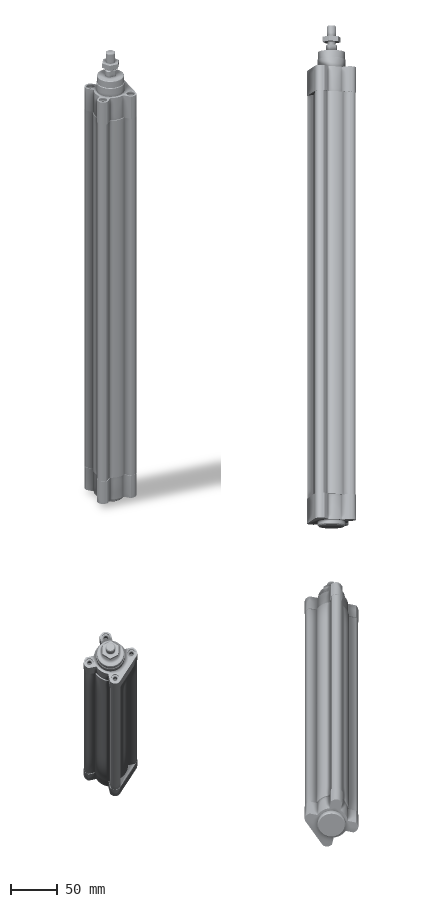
import cadquery as cq
import math

TUBE_WIDTH = 44.5
TUBE_CORNER_RADIUS = 6.0
TUBE_CORE_RADIUS = 19.0
TUBE_GROOVE_APEX = 7.5
CAP_STEP = 0.15
CAP_WIDTH = TUBE_WIDTH + 2 * CAP_STEP
CAP_CORNER_RADIUS = TUBE_CORNER_RADIUS + CAP_STEP
CAP_CORE_RADIUS = 18.0
CAP_GROOVE_APEX = 8.5

TOTAL_LENGTH = 545.0
CAP_LENGTH = 27.0
REAR_CAP_BOTTOM = 5.0
REAR_CAP_TOP = REAR_CAP_BOTTOM + CAP_LENGTH
FRONT_CAP_TOP = 498.0
FRONT_CAP_BOTTOM = FRONT_CAP_TOP - CAP_LENGTH
COLLAR_TOP = 508.5
GLAND_TOP = 517.0
SHOULDER_Z = 524.5
NUT_BOTTOM = 527.5

COLLAR_DIAMETER = 30.0
REAR_COLLAR_CHAMFER = 1.0
FRONT_COLLAR_CHAMFER = 0.5
GLAND_DIAMETER = 29.0
GLAND_CHAMFER = 0.5

SCREW_SPACING = 32.5
COUNTERBORE_DIAMETER = 8.5
COUNTERBORE_DEPTH = 2.5
SCREW_HOLE_DIAMETER = 4.45
SCREW_HOLE_DEPTH = 11.0
COUNTERSINK_DIAMETER = 6.0

ROD_DIAMETER = 12.0
SHOULDER_CHAMFER = 1.0
FLATS_WIDTH = 10.0
NECK_DIAMETER = 8.5
STUD_DIAMETER = 10.0
STUD_CHAMFER = 0.8
NUT_HEIGHT = 5.5
NUT_ACROSS_FLATS = 17.0
NUT_TURN = 30


def disc(diameter, bottom, top):
    """Round cylinder on the Z axis."""
    return cq.Workplane("XY", origin=(0, 0, bottom)).circle(diameter / 2).extrude(top - bottom)


def lobed_bar(width, corner_radius, core_radius, groove_apex, bottom, top):
    """Round core with four corner lobes, neighbouring lobes parted by a V-shaped side groove."""
    height = top - bottom
    half_width = width / 2
    half_mouth = half_width - groove_apex
    base = cq.Workplane("XY", origin=(0, 0, bottom))
    bar = base.rect(width, width).extrude(height).edges("|Z").fillet(corner_radius)
    groove = (
        base.moveTo(0, -groove_apex)
        .lineTo(half_mouth, -half_width)
        .lineTo(-half_mouth, -half_width)
        .close()
        .extrude(height)
    )
    for quarter in range(4):
        bar = bar.cut(groove.rotate((0, 0, 0), (0, 0, 1), 90 * quarter))
    return bar.union(disc(2 * core_radius, bottom, top))


def end_cap(bottom):
    """Lobed cap whose +Y side is filled in to form the flat port face."""
    top = bottom + CAP_LENGTH
    cap = lobed_bar(CAP_WIDTH, CAP_CORNER_RADIUS, CAP_CORE_RADIUS, CAP_GROOVE_APEX, bottom, top)
    half_width = CAP_WIDTH / 2
    port_face_width = CAP_WIDTH - 2 * CAP_CORNER_RADIUS
    port_block = (
        cq.Workplane("XY", origin=(0, half_width / 2, bottom))
        .rect(port_face_width, half_width)
        .extrude(CAP_LENGTH)
    )
    return cap.union(port_block)


def screw_hole():
    """Cutter on the Z axis for one blind hole with a countersunk edge and a counterbore."""
    hole_radius = SCREW_HOLE_DIAMETER / 2
    countersink_radius = COUNTERSINK_DIAMETER / 2
    counterbore_radius = COUNTERBORE_DIAMETER / 2
    countersink_depth = countersink_radius - hole_radius
    seat_z = FRONT_CAP_TOP - COUNTERBORE_DEPTH
    bottom_z = FRONT_CAP_TOP - SCREW_HOLE_DEPTH
    half_section = [
        (0, bottom_z),
        (hole_radius, bottom_z),
        (hole_radius, seat_z - countersink_depth),
        (countersink_radius, seat_z),
        (counterbore_radius, seat_z),
        (counterbore_radius, FRONT_CAP_TOP),
        (0, FRONT_CAP_TOP),
    ]
    return cq.Workplane("XZ").polyline(half_section).close().revolve(360, (0, 0, 0), (0, 1, 0))


def make_housing():
    """Tube with both end caps, the collars, the gland, the screw holes and the rod bore."""
    tube = lobed_bar(
        TUBE_WIDTH,
        TUBE_CORNER_RADIUS,
        TUBE_CORE_RADIUS,
        TUBE_GROOVE_APEX,
        REAR_CAP_TOP,
        FRONT_CAP_BOTTOM,
    )
    rear_collar = disc(COLLAR_DIAMETER, 0, REAR_CAP_BOTTOM)
    rear_collar = rear_collar.faces("<Z").chamfer(REAR_COLLAR_CHAMFER)
    front_collar = disc(COLLAR_DIAMETER, FRONT_CAP_TOP, COLLAR_TOP)
    front_collar = front_collar.faces(">Z").chamfer(FRONT_COLLAR_CHAMFER)
    gland = disc(GLAND_DIAMETER, COLLAR_TOP, GLAND_TOP).faces(">Z").chamfer(GLAND_CHAMFER)
    body = tube.union(end_cap(REAR_CAP_BOTTOM)).union(end_cap(FRONT_CAP_BOTTOM))
    body = body.union(rear_collar).union(front_collar).union(gland)

    hole = screw_hole()
    half_spacing = SCREW_SPACING / 2
    for x in (-half_spacing, half_spacing):
        for y in (-half_spacing, half_spacing):
            body = body.cut(hole.translate((x, y, 0)))

    return body.cut(disc(ROD_DIAMETER, FRONT_CAP_BOTTOM, GLAND_TOP))


def make_rod():
    """Piston rod with two wrench flats facing -X and +X, an undercut neck and an end stud."""
    guided = disc(ROD_DIAMETER, FRONT_CAP_BOTTOM, GLAND_TOP)
    exposed = disc(ROD_DIAMETER, GLAND_TOP, SHOULDER_Z).faces(">Z").chamfer(SHOULDER_CHAMFER)
    flats = (
        cq.Workplane("XY", origin=(0, 0, GLAND_TOP))
        .rect(FLATS_WIDTH, ROD_DIAMETER)
        .extrude(SHOULDER_Z - GLAND_TOP)
    )
    neck = disc(NECK_DIAMETER, SHOULDER_Z, NUT_BOTTOM)
    stud = disc(STUD_DIAMETER, NUT_BOTTOM, TOTAL_LENGTH).faces(">Z").chamfer(STUD_CHAMFER)
    return guided.union(exposed.intersect(flats)).union(neck).union(stud)


def make_nut():
    """Hexagon lock nut around the stud."""
    corner_diameter = NUT_ACROSS_FLATS / math.cos(math.pi / 6)
    nut = (
        cq.Workplane("XY", origin=(0, 0, NUT_BOTTOM))
        .polygon(6, corner_diameter)
        .circle(STUD_DIAMETER / 2)
        .extrude(NUT_HEIGHT)
    )
    return nut.rotate((0, 0, 0), (0, 0, 1), NUT_TURN)


housing = make_housing()
rod = make_rod()
nut = make_nut()
result = cq.Compound.makeCompound([housing.val(), rod.val(), nut.val()])